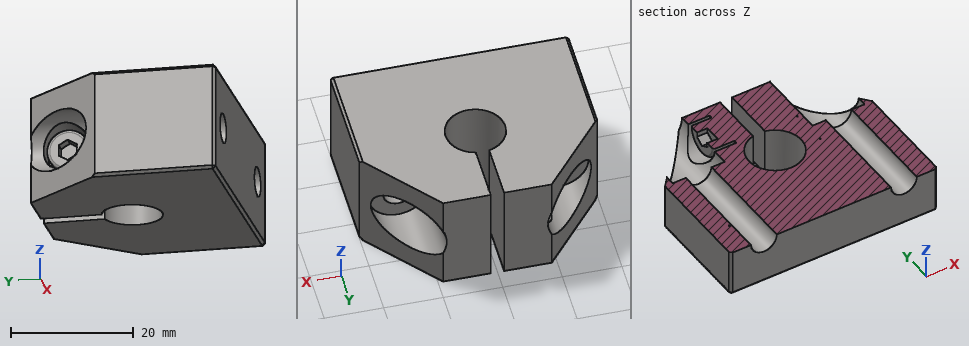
import cadquery as cq

WIDTH = 40
DEPTH = 33.0
HEIGHT = 18
BACK_HALF_WIDTH = 9.1
SLOPE_LENGTH = 13.0
EDGE_CHAMFER = 0.5

BORE_DIAMETER = 10
BORE_FROM_BACK = 15.0
SLOT_WIDTH = 2.25

MOUNT_SPACING = 27.0
MOUNT_HOLE_DIAMETER = 4.9
MOUNT_HEAD_DIAMETER = 10
MOUNT_HEAD_DEPTH = 13.0

SCREW_FROM_BACK = 6
RECESS_DIAMETER = 8
RECESS_FLOOR_X = -4.4
HEAD_DIAMETER = 7.0
HEAD_HEIGHT = 4
HEAD_FILLET = 0.5
SOCKET_FLATS = 3.05
SOCKET_DEPTH = 2

HALF_WIDTH = WIDTH / 2
BACK_Y = DEPTH / 2
FRONT_Y = -BACK_Y
SCREW_Y = BACK_Y - SCREW_FROM_BACK
COS_30 = 3**0.5 / 2


def cylinder_along(direction, start, diameter, length):
    axis = cq.Vector(*direction)
    return cq.Workplane(cq.Solid.makeCylinder(diameter / 2, length, cq.Vector(*start), axis))


def make_block():
    """Block with sloped rear corners and chamfered front and side faces."""
    slope_start_y = BACK_Y - SLOPE_LENGTH
    outline = [
        (-HALF_WIDTH, FRONT_Y),
        (HALF_WIDTH, FRONT_Y),
        (HALF_WIDTH, slope_start_y),
        (BACK_HALF_WIDTH, BACK_Y),
        (-BACK_HALF_WIDTH, BACK_Y),
        (-HALF_WIDTH, slope_start_y),
    ]
    block = cq.Workplane("XY").polyline(outline).close().extrude(HEIGHT / 2, both=True)
    front_edges = block.faces("<Y").edges()
    side_edges = block.faces("<X or >X").edges("|Y")
    return front_edges.add(side_edges).chamfer(EDGE_CHAMFER)


def cut_shaft_clamp(body):
    """Vertical shaft bore, split through to the back face."""
    bore_y = BACK_Y - BORE_FROM_BACK
    bore = cylinder_along((0, 0, 1), (0, bore_y, -HEIGHT / 2), BORE_DIAMETER, HEIGHT)
    slot = cq.Workplane("XY").box(SLOT_WIDTH, BORE_FROM_BACK, HEIGHT)
    slot = slot.translate((0, bore_y + BORE_FROM_BACK / 2, 0))
    return body.cut(bore).cut(slot)


def cut_mounting_holes(body):
    """Through holes whose counterbores break out of the sloped corners."""
    for x in (-MOUNT_SPACING / 2, MOUNT_SPACING / 2):
        hole = cylinder_along((0, 1, 0), (x, FRONT_Y, 0), MOUNT_HOLE_DIAMETER, DEPTH)
        head = cylinder_along((0, -1, 0), (x, BACK_Y, 0), MOUNT_HEAD_DIAMETER, MOUNT_HEAD_DEPTH)
        body = body.cut(hole).cut(head)
    return body


def make_screw_head():
    """Rounded socket head resting on the recess floor."""
    head = cylinder_along((-1, 0, 0), (RECESS_FLOOR_X, SCREW_Y, 0), HEAD_DIAMETER, HEAD_HEIGHT)
    head = head.faces("<X").edges().fillet(HEAD_FILLET)
    top_x = RECESS_FLOOR_X - HEAD_HEIGHT
    socket = (
        cq.Workplane("YZ", origin=(top_x, SCREW_Y, 0))
        .transformed(rotate=(0, 0, 90))
        .polygon(6, SOCKET_FLATS / COS_30)
        .extrude(SOCKET_DEPTH)
    )
    return head.cut(socket)


def add_clamp_screw(body):
    recess_length = HALF_WIDTH + RECESS_FLOOR_X
    recess = cylinder_along((-1, 0, 0), (RECESS_FLOOR_X, SCREW_Y, 0), RECESS_DIAMETER, recess_length)
    return body.cut(recess).union(make_screw_head())


body = make_block()
body = cut_shaft_clamp(body)
body = cut_mounting_holes(body)
result = add_clamp_screw(body)